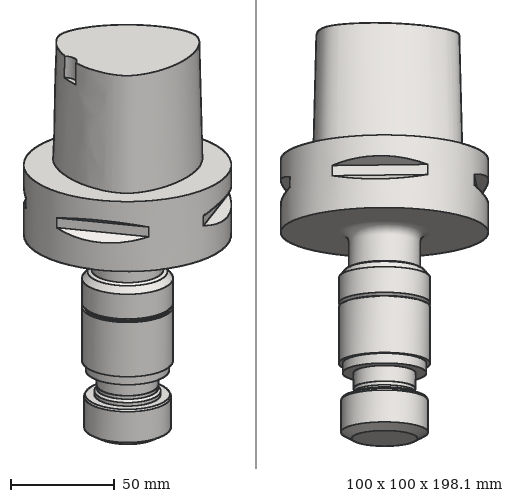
import cadquery as cq
import math


shank_height = 60.0
shank_base_width = 72.0
shank_taper = 1 / 20
lobe_height = 2.7
corner_count = 3
corner_half_angle = 22.0
points_per_curve = 9

notch_radius = 7.0
notch_depth = 11.0
notch_axis_offset = 36.0

flange_diameter = 100.0
flange_height = 36.0
slot_count = 4
slot_first_angle = 45.0
slot_center_depth = 16.0
slot_floor_height = 5.0
slot_floor_distance = 44.4
slot_flank_angle = 30.0

stem_diameter = 34.6
collar_diameter = 44.0
collar_top_diameter = 38.4
groove_diameter = 41.5
step_diameter = 40.4
neck_diameter = 30.0
neck_groove_diameter = 29.59
bead_diameter = 31.98
head_diameter = 42.0

stem_root_fillet = 5.0
stem_length = 18.2
collar_face_slope_height = 0.9
collar_chamfer_height = 3.3
collar_upper_length = 16.0
groove_cone_length = 1.3
groove_floor_length = 0.5
collar_lower_length = 28.0
step_length = 4.8
neck_length = 7.7
neck_groove_length = 1.8
bead_cone_length = 1.3
bead_length = 1.8
head_top_chamfer_width = 0.6
head_top_chamfer_height = 1.0
head_bottom_chamfer_width = 5.2
head_bottom_chamfer_height = 3.0
head_length = 19.8


def shank_point(width, angle, z):
    """Point of the shank outline whose surface normal points at the given angle (degrees)."""
    normal = math.radians(angle)
    lobe_phase = corner_count * (normal - math.pi / 2)
    support = width / 2 + lobe_height * math.cos(lobe_phase)
    slope = -corner_count * lobe_height * math.sin(lobe_phase)
    x = support * math.cos(normal) - slope * math.sin(normal)
    y = support * math.sin(normal) + slope * math.cos(normal)
    return cq.Vector(x, y, z)


def shank_curve(width, start, end, z):
    """Smooth piece of the shank outline between two normal angles (degrees)."""
    step = (end - start) / (points_per_curve - 1)
    points = [shank_point(width, start + step * i, z) for i in range(points_per_curve)]
    tangents = [
        cq.Vector(-math.sin(math.radians(angle)), math.cos(math.radians(angle)), 0)
        for angle in (start, end)
    ]
    return cq.Edge.makeSpline(points, tangents=tangents)


def shank_outline(width, z):
    """Closed outline of alternating corners and sides."""
    pitch = 360 / corner_count
    edges = []
    for i in range(corner_count):
        corner = 90 + i * pitch
        corner_end = corner + corner_half_angle
        edges.append(shank_curve(width, corner - corner_half_angle, corner_end, z))
        edges.append(shank_curve(width, corner_end, corner + pitch - corner_half_angle, z))
    return cq.Wire.assembleEdges(edges)


def make_shank():
    top_width = shank_base_width - shank_taper * shank_height
    base = shank_outline(shank_base_width, 0)
    top = shank_outline(top_width, shank_height)
    shank = cq.Workplane(cq.Solid.makeLoft([base, top], True))
    notch = (
        cq.Workplane("XY", origin=(0, -notch_axis_offset, shank_height - notch_depth))
        .circle(notch_radius)
        .extrude(notch_depth)
    )
    return shank.cut(notch)


def make_slot_cutter(angle):
    """Straight slot across the flange rim whose flanks open outwards."""
    rim = flange_diameter / 2
    flank_rise = (rim - slot_floor_distance) * math.tan(math.radians(slot_flank_angle))
    floor_half = slot_floor_height / 2
    mouth_half = floor_half + flank_rise
    return (
        cq.Workplane("XZ")
        .moveTo(slot_floor_distance, -slot_center_depth - floor_half)
        .lineTo(rim, -slot_center_depth - mouth_half)
        .lineTo(rim, -slot_center_depth + mouth_half)
        .lineTo(slot_floor_distance, -slot_center_depth + floor_half)
        .close()
        .extrude(rim, both=True)
        .rotate((0, 0, 0), (0, 0, 1), angle)
    )


def make_flange():
    flange = cq.Workplane("XY").circle(flange_diameter / 2).extrude(-flange_height)
    for i in range(slot_count):
        flange = flange.cut(make_slot_cutter(slot_first_angle + i * 360 / slot_count))
    return flange


def make_stem():
    """Turned stem: half section revolved about the part axis."""
    stem_radius = stem_diameter / 2
    collar_radius = collar_diameter / 2
    head_radius = head_diameter / 2

    root_z = -flange_height
    stem_end_z = root_z - stem_length
    collar_top_z = stem_end_z - collar_face_slope_height
    groove_top_z = collar_top_z - collar_upper_length
    groove_floor_z = groove_top_z - groove_cone_length
    groove_bottom_z = groove_floor_z - groove_floor_length
    step_top_z = groove_bottom_z - collar_lower_length
    neck_top_z = step_top_z - step_length
    neck_groove_top_z = neck_top_z - neck_length
    cone_top_z = neck_groove_top_z - neck_groove_length
    bead_top_z = cone_top_z - bead_cone_length
    head_top_z = bead_top_z - bead_length
    head_bottom_z = head_top_z - head_length

    fillet_inset = stem_root_fillet * (1 - math.sqrt(0.5))
    section = (
        cq.Workplane("XZ")
        .moveTo(0, root_z)
        .lineTo(stem_radius + stem_root_fillet, root_z)
        .threePointArc(
            (stem_radius + fillet_inset, root_z - fillet_inset),
            (stem_radius, root_z - stem_root_fillet),
        )
        .lineTo(stem_radius, stem_end_z)
        .lineTo(collar_top_diameter / 2, collar_top_z)
        .lineTo(collar_radius, collar_top_z - collar_chamfer_height)
        .lineTo(collar_radius, groove_top_z)
        .lineTo(groove_diameter / 2, groove_floor_z)
        .lineTo(groove_diameter / 2, groove_bottom_z)
        .lineTo(collar_radius, groove_bottom_z)
        .lineTo(collar_radius, step_top_z)
        .lineTo(step_diameter / 2, step_top_z)
        .lineTo(step_diameter / 2, neck_top_z)
        .lineTo(neck_diameter / 2, neck_top_z)
        .lineTo(neck_diameter / 2, neck_groove_top_z)
        .lineTo(neck_groove_diameter / 2, neck_groove_top_z)
        .lineTo(neck_groove_diameter / 2, cone_top_z)
        .lineTo(bead_diameter / 2, bead_top_z)
        .lineTo(bead_diameter / 2, head_top_z)
        .lineTo(head_radius - head_top_chamfer_width, head_top_z)
        .lineTo(head_radius, head_top_z - head_top_chamfer_height)
        .lineTo(head_radius, head_bottom_z + head_bottom_chamfer_height)
        .lineTo(head_radius - head_bottom_chamfer_width, head_bottom_z)
        .lineTo(0, head_bottom_z)
        .close()
    )
    return section.revolve(360, (0, 0, 0), (0, 1, 0))


result = make_flange().union(make_shank()).union(make_stem())